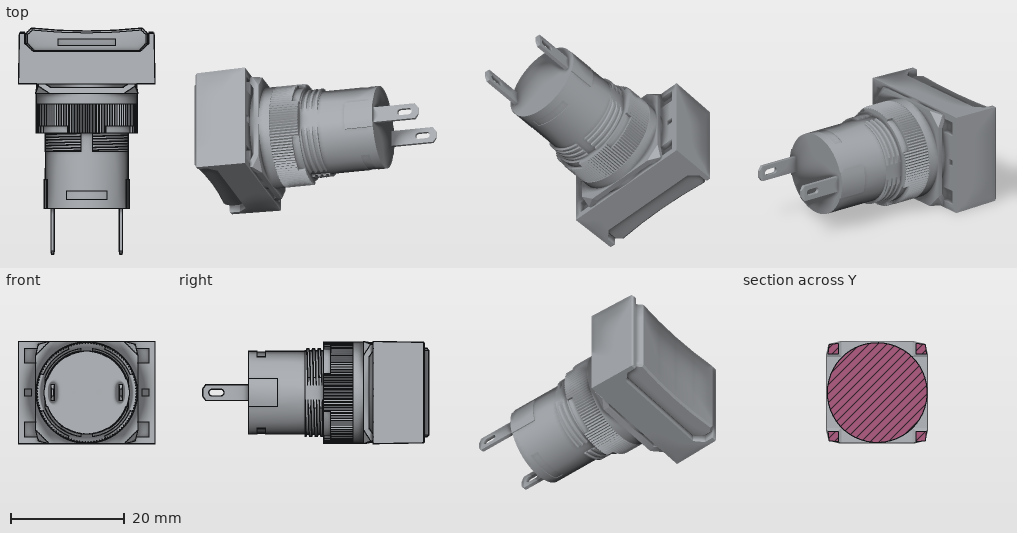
import cadquery as cq
import math


overall_length = 39.75

bezel_width = 24.0
bezel_height = 18.0
bezel_depth = 9.05
bezel_draft = 1.0
bezel_edge_chamfer = 0.25
notch_half_width = 10.95
notch_corner_half_width = 9.4
notch_corner_y = 7.15
notch_floor_y = 5.7

lens_tip_y = 9.8
lens_middle_y = 9.3
lens_tip_half_width = 9.7
lens_shoulder_y = 8.82
lens_gap = 0.2
lens_half_width = notch_half_width - lens_gap
lens_height = 15.6
lens_embed = 0.2
lens_chamfer = 0.35
window_length = 10.05
window_y_min = 6.75
window_y_max = 7.9
window_depth = 0.3

pocket_outer_x = 10.95
pocket_depth = 1.05
corner_pocket_width = 2.8
corner_pocket_height = 2.6
corner_pocket_z = 6.48
small_pocket_size = 1.2

flange_half = 9.0
flange_depth = 1.65
flange_rear_half = 8.7
facet_leg = 2.42
horn_tip_half = 8.5
horn_tip_y = -0.4
relief_depth = 0.68
relief_narrow_half = 6.25
relief_wide_half = 7.3
collar_diameter = 17.6

nut_diameter = 17.8
knurl_start = 3.55
nut_end = 8.65
tooth_count = 108
tooth_depth = 0.28
nut_notch_diameter = 16.5
nut_notch_start = 7.45
nut_notch_angle = 45.0
nut_notch_direction = 45.0

barrel_diameter = 14.6
barrel_end = 21.9
thread_diameter = 15.6
thread_end = 11.92
thread_pitch = 1.0
thread_crest = 0.35
thread_root = 0.68
thread_embed = 0.1
thread_crest_depth = 8.7
thread_core_diameter = 14.85
thread_flat_width = 14.63
top_gap_width = 1.95
side_gap_height = 2.45
pad_diameter = 15.0
pad_height = 4.93
pad_start = 16.8
label_width = 7.15
label_start = 18.85
label_end = 20.35
label_depth = 0.1

terminal_x = 6.0
terminal_thickness = 0.65
terminal_width = 2.8
terminal_end = overall_length - lens_tip_y
tip_length = 0.55
tip_thickness = 0.4
tip_width = 1.27
eye_width = 1.15
eye_start = 26.2
eye_end = 28.8


def cross_section(depth):
    """Sketch plane across the axis, a given distance behind the bezel, facing -Y."""
    return cq.Workplane("XZ", origin=(0, -depth, 0))


def disc(diameter, start, end):
    return cross_section(start).circle(diameter / 2).extrude(end - start)


def block(x_size, z_size, start, end, x=0, z=0):
    return cross_section(start).center(x, z).rect(x_size, z_size).extrude(end - start)


def four_corners(corner):
    """The shape in the +X +Z corner together with its three mirror images."""
    pair = corner.union(corner.mirror("YZ"))
    return pair.union(pair.mirror("XY"))


def beyond_plane(p, q, r, size=11.92):
    """Slab that lies outside the plane through three points."""
    along = cq.Vector(*q) - cq.Vector(*p)
    normal = (cq.Vector(*r) - cq.Vector(*p)).cross(along)
    plane = cq.Plane(origin=p, xDir=along, normal=normal)
    return cq.Workplane(plane).rect(size, size).extrude(size / 2)


def make_bezel():
    body = (
        cross_section(0)
        .rect(bezel_width, bezel_height)
        .extrude(-bezel_depth, taper=bezel_draft)
        .faces(">Y")
        .chamfer(bezel_edge_chamfer)
    )
    notch = (
        cq.Workplane("XY")
        .moveTo(-notch_half_width, lens_tip_y)
        .lineTo(-notch_half_width, notch_corner_y)
        .lineTo(-notch_corner_half_width, notch_floor_y)
        .lineTo(notch_corner_half_width, notch_floor_y)
        .lineTo(notch_half_width, notch_corner_y)
        .lineTo(notch_half_width, lens_tip_y)
        .close()
        .extrude(bezel_height / 2, both=True)
    )
    corner_pocket = block(
        corner_pocket_width, corner_pocket_height, -pocket_depth, 0,
        pocket_outer_x - corner_pocket_width / 2, corner_pocket_z,
    )
    body = body.cut(notch).cut(four_corners(corner_pocket))
    for side in (-1, 1):
        x = side * (pocket_outer_x - small_pocket_size / 2)
        body = body.cut(block(small_pocket_size, small_pocket_size, -pocket_depth, 0, x))
    return body


def make_lens():
    floor_y = notch_floor_y - lens_embed
    corner_y = notch_corner_y - lens_embed
    lens = (
        cq.Workplane("XY")
        .moveTo(-lens_tip_half_width, lens_tip_y)
        .lineTo(-lens_half_width, lens_shoulder_y)
        .lineTo(-lens_half_width, corner_y)
        .lineTo(-notch_corner_half_width, floor_y)
        .lineTo(notch_corner_half_width, floor_y)
        .lineTo(lens_half_width, corner_y)
        .lineTo(lens_half_width, lens_shoulder_y)
        .lineTo(lens_tip_half_width, lens_tip_y)
        .threePointArc((0, lens_middle_y), (-lens_tip_half_width, lens_tip_y))
        .close()
        .extrude(lens_height / 2, both=True)
        .faces("<Z or >Z")
        .chamfer(lens_chamfer)
    )
    window = block(
        window_length, 2 * window_depth, -window_y_max, -window_y_min, z=lens_height / 2
    )
    return lens.cut(window)


def make_flange():
    plate = (
        cross_section(0)
        .rect(2 * flange_rear_half, 2 * flange_rear_half)
        .workplane(offset=flange_depth)
        .rect(2 * flange_half, 2 * flange_half)
        .loft(ruled=True)
    )
    facet_inner = flange_half - facet_leg
    relief_half = flange_half - (flange_half - flange_rear_half) * (1 - relief_depth / flange_depth)
    side_point = (flange_half, -flange_depth, facet_inner)
    top_point = (facet_inner, -flange_depth, flange_half)
    tip = (horn_tip_half, horn_tip_y, horn_tip_half)
    side_relief = (relief_half, -relief_depth, relief_narrow_half)
    top_relief = (relief_narrow_half, -relief_depth, relief_half)
    corner_cut = (
        beyond_plane(side_point, top_point, tip)
        .union(beyond_plane(side_point, tip, side_relief))
        .union(beyond_plane(top_point, top_relief, tip))
    )
    plate = plate.cut(four_corners(corner_cut))

    relief = (
        cq.Workplane("XY")
        .moveTo(-relief_wide_half, 0)
        .lineTo(-relief_narrow_half, -relief_depth)
        .lineTo(relief_narrow_half, -relief_depth)
        .lineTo(relief_wide_half, 0)
        .close()
        .extrude(flange_half, both=True)
    )
    plate = plate.cut(relief).cut(relief.rotate((0, 0, 0), (0, 1, 0), 90))
    return plate.union(disc(collar_diameter, 0, flange_depth))


def make_nut():
    outer = nut_diameter / 2
    root = outer - tooth_depth
    step = 2 * math.pi / tooth_count
    profile = []
    for i in range(tooth_count):
        profile.append((outer * math.cos(i * step), outer * math.sin(i * step)))
        profile.append((root * math.cos((i + 0.5) * step), root * math.sin((i + 0.5) * step)))
    nut = disc(nut_diameter, flange_depth, knurl_start).union(
        cross_section(knurl_start).polyline(profile).close().extrude(nut_end - knurl_start)
    )

    reach = nut_diameter
    half_angle = math.radians(nut_notch_angle / 2)
    middle = math.radians(nut_notch_direction)
    sector = (
        cross_section(nut_notch_start)
        .polyline([
            (0, 0),
            (reach * math.cos(middle - half_angle), reach * math.sin(middle - half_angle)),
            (reach * math.cos(middle + half_angle), reach * math.sin(middle + half_angle)),
        ])
        .close()
        .extrude(nut_end - nut_notch_start)
        .cut(disc(nut_notch_diameter, nut_notch_start, nut_end))
    )
    return nut.cut(four_corners(sector))


def make_thread():
    """Helical ridge, trimmed to the threaded length and split into four by gaps."""
    inner = barrel_diameter / 2 - thread_embed
    outer = thread_diameter / 2
    lead_in_turns = 1.5
    helix_start = thread_crest_depth - lead_in_turns * thread_pitch
    turns = 5
    path = cq.Wire.makeHelix(thread_pitch, turns * thread_pitch, inner)
    ridge = (
        cq.Workplane("XZ")
        .polyline([
            (inner, -thread_root / 2),
            (outer, -thread_crest / 2),
            (outer, thread_crest / 2),
            (inner, thread_root / 2),
        ])
        .close()
        .sweep(cq.Workplane(obj=path), isFrenet=True)
        .rotate((0, 0, 0), (1, 0, 0), 90)
        .translate((0, -helix_start, 0))
    )
    span = thread_diameter
    envelope = block(thread_flat_width, span, nut_end, thread_end).cut(
        block(top_gap_width, span, nut_end, thread_end)
    )
    core = disc(thread_core_diameter, nut_end, thread_end).intersect(envelope)
    side_gaps = block(span, side_gap_height, nut_end, thread_end)
    return core.union(ridge.intersect(envelope.cut(side_gaps)))


def make_barrel():
    barrel = disc(barrel_diameter, nut_end, barrel_end)
    pads = disc(pad_diameter, pad_start, barrel_end).intersect(
        block(pad_diameter, pad_height, pad_start, barrel_end)
    )
    label = (
        disc(barrel_diameter, label_start, label_end)
        .cut(disc(barrel_diameter - 2 * label_depth, label_start, label_end))
        .intersect(block(label_width, barrel_diameter, label_start, label_end))
    )
    return barrel.cut(label).union(pads).union(make_thread())


def make_terminal(x):
    tip_start = terminal_end - tip_length
    blade = block(terminal_thickness, terminal_width, barrel_end, tip_start, x)
    tip = (
        cross_section(tip_start)
        .center(x, 0)
        .rect(terminal_thickness, terminal_width)
        .workplane(offset=tip_length)
        .rect(tip_thickness, tip_width)
        .loft(ruled=True)
    )
    eye = (
        cq.Workplane("YZ", origin=(x, -(eye_start + eye_end) / 2, 0))
        .slot2D(eye_end - eye_start, eye_width)
        .extrude(terminal_thickness, both=True)
    )
    return blade.union(tip).cut(eye)


result = (
    make_bezel()
    .union(make_lens())
    .union(make_flange())
    .union(make_nut())
    .union(make_barrel())
    .union(make_terminal(-terminal_x))
    .union(make_terminal(terminal_x))
)